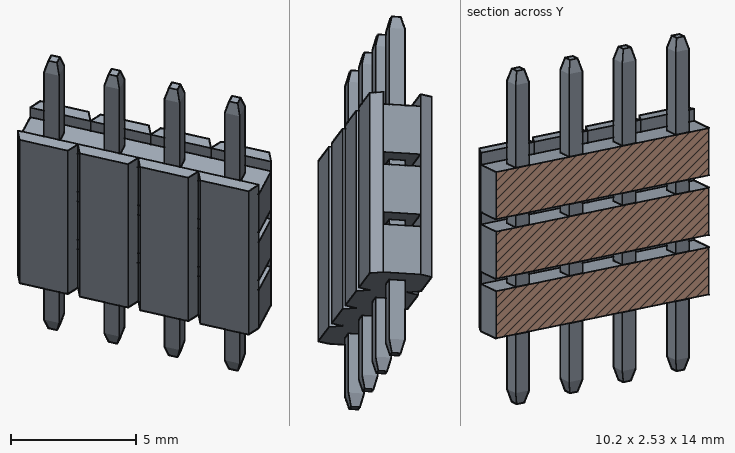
import cadquery as cq


pin_count = 4
housing_length = 10.16
housing_depth = 2.53
housing_height = 7.5
pitch = housing_length / pin_count

bevel_along = 0.25
bevel_depth = 0.5

channel_width = 1.5
channel_height = 0.5
tier_count = 3
tier_height = housing_height / tier_count

pin_width = 0.65
pin_above = 3.5
pin_below = 3.0
tip_height = 0.53
tip_width = 0.36

pin_positions = [(i - (pin_count - 1) / 2) * pitch for i in range(pin_count)]


def housing_position(x):
    """One pitch of the housing: an octagonal block centred at x."""
    half_length = pitch / 2
    half_depth = housing_depth / 2
    flat_x = half_length - bevel_along
    flat_y = half_depth - bevel_depth
    outline = [
        (-half_length, -flat_y),
        (-flat_x, -half_depth),
        (flat_x, -half_depth),
        (half_length, -flat_y),
        (half_length, flat_y),
        (flat_x, half_depth),
        (-flat_x, half_depth),
        (-half_length, flat_y),
    ]
    return cq.Workplane("XY").center(x, 0).polyline(outline).close().extrude(housing_height)


def lengthwise_channel(top):
    """Cutter for a channel along X whose upper face is at height top."""
    return (
        cq.Workplane("XY")
        .workplane(offset=top - channel_height)
        .rect(housing_length, channel_width)
        .extrude(channel_height)
    )


def pin_tip(x, base, height):
    """Tapered pin end starting at base; a negative height points it downwards."""
    return (
        cq.Workplane("XY")
        .workplane(offset=base)
        .center(x, 0)
        .rect(pin_width, pin_width)
        .workplane(offset=height)
        .rect(tip_width, tip_width)
        .loft(ruled=True)
    )


def pin(x):
    """Square pin with both ends tapered."""
    shank_bottom = tip_height - pin_below
    shank_top = housing_height + pin_above - tip_height
    shank = (
        cq.Workplane("XY")
        .workplane(offset=shank_bottom)
        .center(x, 0)
        .rect(pin_width, pin_width)
        .extrude(shank_top - shank_bottom)
    )
    upper_tip = pin_tip(x, shank_top, tip_height)
    lower_tip = pin_tip(x, shank_bottom, -tip_height)
    return shank.union(upper_tip).union(lower_tip)


housing = housing_position(pin_positions[0])
for x in pin_positions[1:]:
    housing = housing.union(housing_position(x))

for tier in range(1, tier_count + 1):
    housing = housing.cut(lengthwise_channel(tier * tier_height))

result = housing
for x in pin_positions:
    result = result.union(pin(x))
result = result.clean()